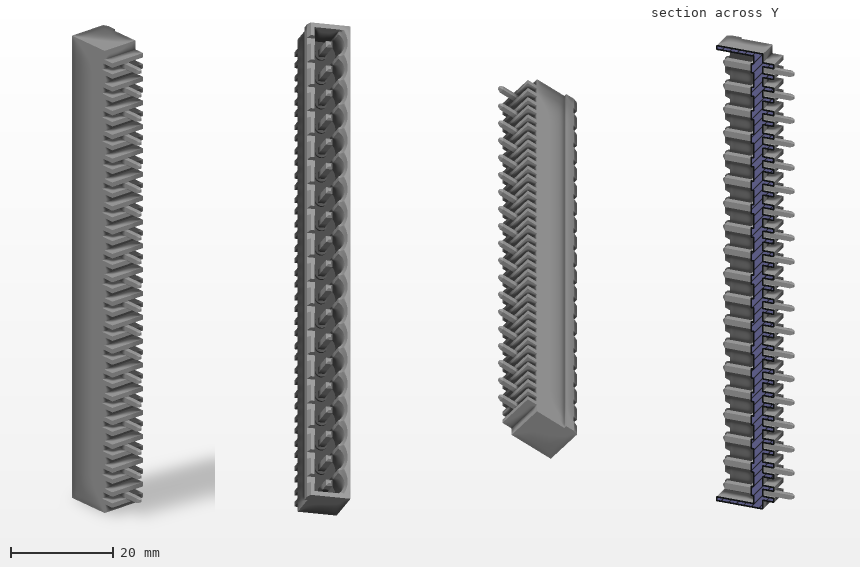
import cadquery as cq

X_AXIS = cq.Vector(1, 0, 0)

PIN_COUNT = 19
PITCH = 5.08
END_MARGIN = 3.54
LENGTH = (PIN_COUNT - 1) * PITCH + 2 * END_MARGIN
PIN_Z = [END_MARGIN + i * PITCH for i in range(PIN_COUNT)]

BODY_DEPTH = 9.88
WALL_TOP = 7.9
LATCH_TOP = 8.5
LATCH_START = 1.1
LATCH_END = 3.0
LEAD_IN = 1.4
LATCH_FRONT = 8.1

END_WALL = 0.9
CAVITY_DEPTH = 7.8
CAVITY_TOP = 6.85
CAVITY_TOP_FRONT = 7.35
CUSP_Y = 2.1
SCALLOP_RADIUS = 2.43
SCALLOP_FLOOR = 0.85
MOUTH_RADIUS = 5.0
MOUTH_FLOOR = 0.6

NOTCH_DEPTH = 1.2
NOTCH_MOUTH_WIDTH = 1.8
NOTCH_FLOOR_WIDTH = 1.4

STANDOFF_END = 12.2
STANDOFF_WIDTH = 3.3
SLOT_WIDTH = 1.4
SLOT_FLOOR = 9.15
SLOT_STEP_Y = 3.0

PIN_Y = 3.86
TAIL_SIZE = 1.0
TAIL_END = 16.2
TAIL_TIP_LENGTH = 0.65
TAIL_TIP_SIZE = 0.55
CONTACT_SIZE = 1.3
CONTACT_FRONT = 1.2
CONTACT_TIP_LENGTH = 0.5
CONTACT_TIP_SIZE = 0.5
COLLAR_DIAMETER = 2.5
COLLAR_LENGTH = 0.5


def box(x0, x1, y0, y1, z0, z1):
    corner = cq.Workplane("XY", origin=(x0, y0, z0))
    return corner.box(x1 - x0, y1 - y0, z1 - z0, centered=False)


def prism(points, z0, z1):
    return cq.Workplane("XY").workplane(offset=z0).polyline(points).close().extrude(z1 - z0)


def make_housing():
    profile = [
        (0, 0),
        (BODY_DEPTH, 0),
        (BODY_DEPTH, WALL_TOP),
        (LATCH_END, WALL_TOP),
        (LATCH_END, LATCH_TOP),
        (LATCH_START, LATCH_TOP),
        (0, LATCH_FRONT),
    ]
    return prism(profile, 0, LENGTH)


def scallop_circle(x, radius, floor, z):
    return cq.Wire.makeCircle(radius, cq.Vector(x, floor + radius, z), X_AXIS)


def make_scallop(z):
    """One pin's bay of the cavity: a round trough with a wider, shallower mouth."""
    centre = cq.Vector(0, SCALLOP_FLOOR + SCALLOP_RADIUS, z)
    bore = cq.Solid.makeCylinder(SCALLOP_RADIUS, CAVITY_DEPTH, centre, X_AXIS)
    mouth_rim = scallop_circle(0, MOUTH_RADIUS, MOUTH_FLOOR, z)
    inner_rim = scallop_circle(LEAD_IN, SCALLOP_RADIUS, SCALLOP_FLOOR, z)
    mouth = cq.Solid.makeLoft([mouth_rim, inner_rim], True)
    z0 = max(z - PITCH / 2, END_WALL)
    z1 = min(z + PITCH / 2, LENGTH - END_WALL)
    bay = box(0, CAVITY_DEPTH, 0, CAVITY_TOP, z0, z1)
    return cq.Workplane(bore.fuse(mouth)).intersect(bay)


def make_cavity():
    profile = [
        (0, CUSP_Y),
        (CAVITY_DEPTH, CUSP_Y),
        (CAVITY_DEPTH, CAVITY_TOP),
        (LEAD_IN, CAVITY_TOP),
        (0, CAVITY_TOP_FRONT),
    ]
    cavity = prism(profile, END_WALL, LENGTH - END_WALL)
    for z in PIN_Z:
        cavity = cavity.union(make_scallop(z))
    return cavity


def make_notch(z):
    profile = [
        (0, z - NOTCH_MOUTH_WIDTH / 2),
        (NOTCH_DEPTH, z - NOTCH_FLOOR_WIDTH / 2),
        (NOTCH_DEPTH, z + NOTCH_FLOOR_WIDTH / 2),
        (0, z + NOTCH_MOUTH_WIDTH / 2),
    ]
    height = LATCH_TOP - CAVITY_TOP
    return cq.Workplane("XZ", origin=(0, LATCH_TOP, 0)).polyline(profile).close().extrude(height)


def make_standoff(z):
    return box(BODY_DEPTH, STANDOFF_END, 0, WALL_TOP, z - STANDOFF_WIDTH / 2, z + STANDOFF_WIDTH / 2)


def make_slot(z):
    """Slot around a solder tail; its part nearest Y = 0 also bites into the housing."""
    z0 = z - SLOT_WIDTH / 2
    z1 = z + SLOT_WIDTH / 2
    deep = box(SLOT_FLOOR, STANDOFF_END, 0, SLOT_STEP_Y, z0, z1)
    through = box(BODY_DEPTH, STANDOFF_END, 0, WALL_TOP, z0, z1)
    return deep.union(through)


def make_square_rod(z, base, tip, size, tip_length, tip_size):
    """Square rod along X from base to tip, with its tip end tapered."""
    direction = 1 if tip > base else -1
    straight_length = abs(tip - base) - tip_length
    plane = cq.Plane(origin=(base, PIN_Y, z), xDir=(0, 1, 0), normal=(direction, 0, 0))
    rod = cq.Workplane(plane).rect(size, size).extrude(straight_length)
    taper = cq.Workplane(plane).workplane(offset=straight_length).rect(size, size)
    taper = taper.workplane(offset=tip_length).rect(tip_size, tip_size).loft(ruled=True)
    return rod.union(taper)


def make_pin(z):
    tail = make_square_rod(z, CAVITY_DEPTH, TAIL_END, TAIL_SIZE, TAIL_TIP_LENGTH, TAIL_TIP_SIZE)
    contact = make_square_rod(
        z, CAVITY_DEPTH, CONTACT_FRONT, CONTACT_SIZE, CONTACT_TIP_LENGTH, CONTACT_TIP_SIZE
    )
    collar_base = cq.Vector(CAVITY_DEPTH - COLLAR_LENGTH, PIN_Y, z)
    collar = cq.Solid.makeCylinder(COLLAR_DIAMETER / 2, COLLAR_LENGTH, collar_base, X_AXIS)
    return tail.union(contact).union(cq.Workplane(collar))


result = make_housing().cut(make_cavity())
for pin_z in PIN_Z:
    result = result.cut(make_notch(pin_z))
    result = result.union(make_standoff(pin_z)).cut(make_slot(pin_z))
    result = result.union(make_pin(pin_z))